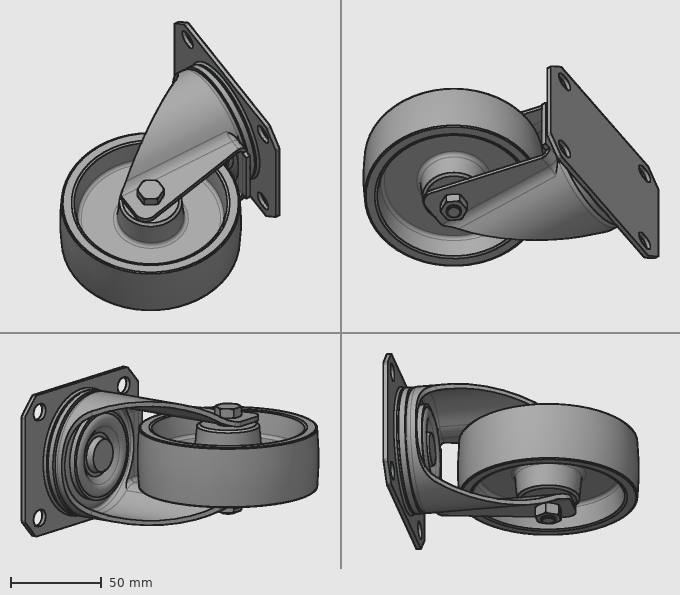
import cadquery as cq
import math


plate_length = 105.0
plate_width = 80.0
plate_thickness = 2.5
plate_corner = 10.1
plate_corner_rounding = 2.0
slot_length = 11.1
slot_width = 9.1
slot_x = 39.0
slot_z = 30.0
collar_rim_radius = 35.8
collar_radius = 34.5
collar_flare = 1.4
collar_bottom = 5.0

head_radius = 35.1
race_bottom = 8.7
cup_radius = 25.1
cup_rim_depth = 16.1
dome_outer_radius = 23.5
dome_inner_radius = 16.3
dome_depth = 17.8
dish_radius = 12.4
dish_depth = 13.2
pin_radius = 10.1
pin_face_radius = 9.1
pin_face_depth = 17.3

sheet = 2.7
leg_outer = 23.6
leg_inner = leg_outer - sheet
leg_flat_start = 29.8
leg_end_depth = 89.0
leg_front_corner = 6.5
leg_rear_corner = 4.0
leg_top_front = 36.5
leg_end_front = 52.8
leg_bend_radius = 5.2
head_shoulder_radius = 3.0
tab_depth = race_bottom + head_shoulder_radius
tab_end = 40.5
lip_depth = 14.7
lip_radius = 20.0
rear_edge_angle = math.radians(54.2)
floor_depth = 10.5
floor_groove_radius = 1.4
floor_swell_depth = 12.9

wheel_radius = 50.0
axle_x = 37.9
axle_depth = 75.0
tire_half_width = 17.0
tire_edge_radius = 49.3
tire_face_radius = 48.5
tire_edge_chamfer = 0.5
rim_radius = 43.7
rim_lip_radius = 42.3
rim_lip_chamfer = 0.5
rim_base_radius = 40.5
web_half_thickness = 2.8
web_rim_fillet = 2.0
hub_half_length = 19.0
hub_end_radius = 17.3
hub_base_radius = 18.4
hub_base_fillet = 2.2
hub_edge_width = 1.7
hub_edge_height = 1.1

sleeve_radius = 5.9
bolt_radius = 4.1
bolt_end = 31.5
bolt_end_chamfer = 0.5
hex_across_corners = 15.0
bolt_head_height = 5.3
nut_height = 6.5
hex_corner_trim = 0.5
nut_mark_length = 3.7
nut_mark_width = 2.2
nut_mark_depth = 0.3


def swivel_revolve(profile):
    """Revolve an outline drawn in the XY plane about the swivel axis."""
    return profile.close().revolve(360, (0, 0, 0), (0, 1, 0))


def wheel_revolve(profile):
    """Revolve an outline of (radius, Z) points about the wheel axle."""
    ring = profile.close().revolve(360, (0, 0, 0), (0, 1, 0))
    return ring.translate((axle_x, -axle_depth, 0))


def depth_plane(depth):
    """Plane parallel to the mounting face; extrusions from it go toward -Y."""
    return cq.Workplane("XZ").workplane(offset=depth)


def axle_plane(z):
    """Plane square to the wheel axle and centred on it."""
    return cq.Workplane("XY", origin=(axle_x, -axle_depth, z))


def make_plate():
    """Plate with clipped corners, four slots and a flared collar under it."""
    plate = (
        depth_plane(0)
        .rect(plate_length, plate_width)
        .extrude(plate_thickness)
        .edges("|Y")
        .chamfer(plate_corner)
        .edges("|Y")
        .fillet(plate_corner_rounding)
    )
    collar = swivel_revolve(
        cq.Workplane("XY")
        .moveTo(0, -plate_thickness)
        .lineTo(collar_rim_radius, -plate_thickness)
        .lineTo(collar_radius, -plate_thickness - collar_flare)
        .lineTo(collar_radius, -collar_bottom)
        .lineTo(0, -collar_bottom)
    )
    slots = (
        depth_plane(0)
        .rect(2 * slot_x, 2 * slot_z, forConstruction=True)
        .vertices()
        .slot2D(slot_length, slot_width)
        .extrude(plate_thickness)
    )
    pin_hole = depth_plane(plate_thickness).circle(pin_radius).extrude(collar_bottom)
    return plate.cut(slots).union(collar).cut(pin_hole)


def make_race():
    """Flat bearing ring between the plate collar and the fork head."""
    return (
        depth_plane(collar_bottom)
        .circle(head_radius)
        .circle(pin_radius)
        .extrude(race_bottom - collar_bottom)
    )


def fork_outline(inset, front_x):
    """Outline of round head and straight legs, moved inward by `inset`, in the XZ plane."""
    head = head_radius - inset
    side = leg_outer - inset
    bend = (leg_flat_start**2 + leg_outer**2 - head_radius**2) / (2 * (head_radius - leg_outer))
    center_x = leg_flat_start
    center_z = leg_outer + bend
    reach = head_radius + bend
    bend += inset
    start = (center_x * head / reach, center_z * head / reach)
    half_angle = (math.atan2(center_z, center_x) + math.pi / 2) / 2
    middle = (center_x - bend * math.cos(half_angle), center_z - bend * math.sin(half_angle))
    return (
        cq.Workplane("XZ")
        .moveTo(front_x, side)
        .lineTo(leg_flat_start, side)
        .threePointArc(middle, start)
        .threePointArc((-head, 0), (start[0], -start[1]))
        .threePointArc((middle[0], -middle[1]), (leg_flat_start, -side))
        .lineTo(front_x, -side)
        .close()
    )


def fork_side_outline():
    """Side shape that trims the fork: curved lip, sloping rear edge and tapered leg."""
    tangent = lip_radius * math.tan(rear_edge_angle / 2)
    lip_corner_x = -head_radius + tangent
    arc_end = (
        lip_corner_x + tangent * math.cos(rear_edge_angle),
        -lip_depth - tangent * math.sin(rear_edge_angle),
    )
    half_angle = rear_edge_angle / 2
    arc_middle = (
        -head_radius + lip_radius * math.sin(half_angle),
        -lip_depth - lip_radius * (1 - math.cos(half_angle)),
    )
    leg_tip_x = lip_corner_x + (leg_end_depth - lip_depth) / math.tan(rear_edge_angle)
    return (
        cq.Workplane("XY")
        .workplane(offset=-plate_width / 2)
        .moveTo(-head_radius, 0)
        .lineTo(-head_radius, -lip_depth)
        .threePointArc(arc_middle, arc_end)
        .lineTo(leg_tip_x, -leg_end_depth)
        .lineTo(leg_end_front, -leg_end_depth)
        .lineTo(leg_top_front, -tab_depth - leg_bend_radius)
        .lineTo(leg_top_front, 0)
        .close()
        .extrude(plate_width)
        .edges("|Z and >X")
        .fillet(leg_front_corner)
        .edges(cq.selectors.NearestToPointSelector((leg_tip_x, -leg_end_depth, 0)))
        .fillet(leg_rear_corner)
    )


def make_head_hollow():
    """Space inside the round skirt; its top has a rounded groove and swells toward the cup."""
    wall = head_radius - sheet
    groove = floor_groove_radius
    rise = floor_swell_depth - floor_depth
    span = wall - groove - cup_radius
    radii_sum = (span**2 + rise**2) / (2 * rise)
    swell = radii_sum - groove
    tilt = math.asin(span / radii_sum)

    def swell_point(angle):
        return (
            cup_radius + swell * math.sin(angle),
            -floor_swell_depth + swell * (1 - math.cos(angle)),
        )

    return swivel_revolve(
        cq.Workplane("XY")
        .moveTo(wall, -leg_end_depth)
        .lineTo(wall, -floor_depth - groove)
        .threePointArc((wall - groove, -floor_depth), swell_point(tilt))
        .threePointArc(swell_point(tilt / 2), swell_point(0))
        .lineTo(cup_radius, -floor_depth)
        .lineTo(0, -floor_depth)
        .lineTo(0, -leg_end_depth)
    )


def make_leg_shell():
    """Hollow head and legs with the sheet bent over at the top, before side trimming."""
    front_x = leg_end_front + sheet
    length = leg_end_depth - tab_depth
    outer = fork_outline(0, front_x).extrude(length).translate((0, -tab_depth, 0))
    outer = outer.faces(">Y").edges("not(>X)").fillet(leg_bend_radius)
    head = (
        depth_plane(race_bottom)
        .circle(head_radius)
        .extrude(leg_end_depth - race_bottom)
        .faces(">Y")
        .edges()
        .fillet(head_shoulder_radius)
    )
    inner = fork_outline(sheet, front_x).extrude(length).translate((0, -tab_depth - sheet, 0))
    inner = inner.faces(">Y").edges("not(>X)").fillet(leg_bend_radius - sheet)
    return outer.union(head).cut(inner.union(make_head_hollow()))


def make_fork():
    """Bent-sheet fork: round head, front tab and two legs with axle holes."""
    tab_start = head_radius - sheet
    tab_width = 2 * (leg_outer - leg_bend_radius)
    tab = (
        depth_plane(tab_depth)
        .center((tab_start + tab_end) / 2, 0)
        .rect(tab_end - tab_start, tab_width)
        .extrude(sheet)
    )
    pin_hole = depth_plane(0).circle(pin_radius).extrude(dome_depth)
    axle_hole = axle_plane(-plate_width / 2).circle(bolt_radius).extrude(plate_width)
    return (
        make_leg_shell()
        .intersect(fork_side_outline())
        .union(tab)
        .cut(pin_hole)
        .cut(axle_hole)
    )


def make_cup():
    """Bearing cup under the fork head: flat rim, domed ring and a dish around the kingpin."""
    return swivel_revolve(
        cq.Workplane("XY")
        .moveTo(pin_radius, -floor_depth)
        .lineTo(cup_radius, -floor_depth)
        .lineTo(cup_radius, -cup_rim_depth)
        .lineTo(dome_outer_radius, -cup_rim_depth)
        .threePointArc(
            ((dome_outer_radius + dome_inner_radius) / 2, -dome_depth),
            (dome_inner_radius, -cup_rim_depth),
        )
        .lineTo(dish_radius, -dish_depth)
        .lineTo(pin_radius, -dish_depth)
    )


def make_kingpin():
    """Riveted pin on the swivel axis, with a tapered head."""
    return swivel_revolve(
        cq.Workplane("XY")
        .moveTo(0, -plate_thickness)
        .lineTo(pin_radius, -plate_thickness)
        .lineTo(pin_radius, -dish_depth)
        .lineTo(pin_face_radius, -pin_face_depth)
        .lineTo(0, -pin_face_depth)
    )


def make_tire():
    """Crowned tire with bevelled edges."""
    edge_z = tire_half_width - tire_edge_chamfer
    return wheel_revolve(
        cq.Workplane("XZ")
        .moveTo(rim_radius, -tire_half_width)
        .lineTo(tire_face_radius, -tire_half_width)
        .lineTo(tire_edge_radius, -edge_z)
        .threePointArc((wheel_radius, 0), (tire_edge_radius, edge_z))
        .lineTo(tire_face_radius, tire_half_width)
        .lineTo(rim_radius, tire_half_width)
    )


def make_wheel():
    """Wheel body: rim, web and hub, the same on both sides."""
    web = web_half_thickness
    half = wheel_revolve(
        cq.Workplane("XZ")
        .moveTo(sleeve_radius, 0)
        .lineTo(rim_radius, 0)
        .lineTo(rim_radius, tire_half_width)
        .lineTo(rim_lip_radius, tire_half_width - rim_lip_chamfer)
        .lineTo(rim_base_radius, web + web_rim_fillet)
        .radiusArc((rim_base_radius - web_rim_fillet, web), web_rim_fillet)
        .lineTo(hub_base_radius + hub_base_fillet, web)
        .radiusArc((hub_base_radius, web + hub_base_fillet), hub_base_fillet)
        .lineTo(hub_end_radius, hub_half_length - hub_edge_height)
        .lineTo(hub_end_radius - hub_edge_width, hub_half_length)
        .lineTo(sleeve_radius, hub_half_length)
    )
    return half.union(half.mirror("XY"))


def make_sleeve():
    """Tube on the bolt that fills the gap between the fork legs."""
    return axle_plane(-leg_inner).circle(sleeve_radius).circle(bolt_radius).extrude(2 * leg_inner)


def hex_prism(start_z, end_z):
    """Hexagonal prism on the axle, its corners trimmed by a bevelled round at both ends."""
    height = end_z - start_z
    prism = axle_plane(start_z).polygon(6, hex_across_corners).extrude(height)
    trim = axle_plane(start_z).circle(hex_across_corners / 2).extrude(height)
    return prism.intersect(trim.edges().chamfer(hex_corner_trim))


def make_bolt():
    """Hexagon bolt; its head rests on the +Z leg."""
    head = hex_prism(leg_outer, leg_outer + bolt_head_height)
    shank = (
        axle_plane(-bolt_end)
        .circle(bolt_radius)
        .extrude(bolt_end + leg_outer)
        .faces("<Z")
        .chamfer(bolt_end_chamfer)
    )
    return head.union(shank)


def make_nut():
    """Hexagon nut under the -Z leg, with a shallow rectangular mark on its -Y flat."""
    flat_depth = axle_depth + hex_across_corners / 2 * math.cos(math.pi / 6)
    bore = axle_plane(-leg_outer).circle(bolt_radius).extrude(-nut_height)
    nut = hex_prism(-leg_outer - nut_height, -leg_outer).cut(bore)
    mark = (
        depth_plane(flat_depth - nut_mark_depth)
        .center(axle_x, -leg_outer - nut_height / 2)
        .rect(nut_mark_length, nut_mark_width)
        .extrude(nut_mark_depth)
    )
    return nut.cut(mark)


plate = make_plate()
race = make_race()
fork = make_fork()
cup = make_cup()
kingpin = make_kingpin()
tire = make_tire()
wheel = make_wheel()
sleeve = make_sleeve()
bolt = make_bolt()
nut = make_nut()

bodies = [plate, race, fork, cup, kingpin, tire, wheel, sleeve, bolt, nut]
result = cq.Compound.makeCompound([body.solids().val() for body in bodies])